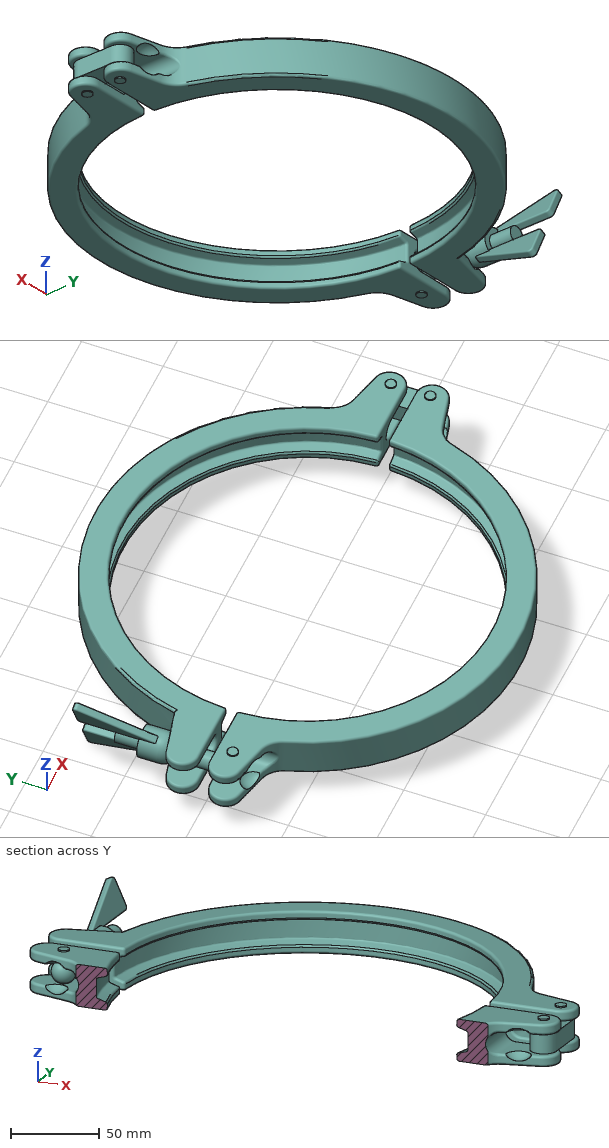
import cadquery as cq
import math

outer_radius = 129.7
bore_radius = 112.5
ring_height = 25.5
split_gap = 6.5
edge_round = 1.5

groove_radius = 119.0
groove_floor_height = 11.7
groove_mouth_height = 15.5
groove_edge_round = 1.3
groove_overrun = 3.3

overall_length = 326
lug_tip_radius = 9.8
lug_taper = 13.5
lug_blend_radius = 14.7
lug_tip_x = overall_length / 2 - lug_tip_radius
lug_tip_y = split_gap / 2 + lug_tip_radius

slot_height = 12.7
slot_end_x = 125.8
seat_radius = 9.8

pin_radius = 3.3
pin_length = 27.0
hinge_pin_x = 153.0
hinge_pin_y = 12.0
link_radius = 7.8
link_height = 11.5

bolt_x = -143.0
bolt_radius = 5.5
bolt_end_y = 57.0
eye_y = -lug_tip_y
eye_radius = 7.2
eye_height = 11.7

nut_radius = 9.8
nut_face_y = 22.5
nut_dome_y = 29.0
nut_end_y = 41.7
wing_tilt = 25
wing_thickness = 5.0
wing_inner = 7.5
wing_outer = 29.5
wing_root = 9.8
wing_root_y = 31.5
wing_end_y = 80.0
wing_corner_round = 2.5
wing_edge_round = 1.0

taper = math.radians(lug_taper)
flank_x = lug_tip_x + lug_tip_radius * math.sin(taper)
flank_y = lug_tip_y + lug_tip_radius * math.cos(taper)


def flank_height(x):
    """Y of the sloping lug flank at distance x from the ring axis."""
    return flank_y + (flank_x - x) * math.tan(taper)


def block(x_min, x_max, y_min, y_max, height):
    """Box centred on Z = 0."""
    return (
        cq.Workplane("XY")
        .box(x_max - x_min, y_max - y_min, height, centered=(False, False, True))
        .translate((x_min, y_min, 0))
    )


def disc(x, y, radius, height):
    """Upright cylinder centred on Z = 0."""
    return cq.Workplane("XY").center(x, y).circle(radius).extrude(height / 2, both=True)


def lug(side):
    """Solid lug on the +X (side = 1) or -X (side = -1) end of the +Y half."""
    base_x = (bore_radius + outer_radius) / 2
    return (
        cq.Workplane("XY")
        .moveTo(side * base_x, split_gap / 2)
        .lineTo(side * lug_tip_x, split_gap / 2)
        .threePointArc((side * overall_length / 2, lug_tip_y), (side * flank_x, flank_y))
        .lineTo(side * base_x, flank_height(base_x))
        .close()
        .extrude(ring_height / 2, both=True)
    )


def groove():
    """Trapezoidal ring to cut from the bore."""
    slope = (groove_mouth_height - groove_floor_height) / 2 / (groove_radius - bore_radius)
    start_radius = bore_radius - groove_overrun
    start_half = groove_mouth_height / 2 + slope * groove_overrun
    floor_half = groove_floor_height / 2
    return (
        cq.Workplane("XZ")
        .polyline([
            (start_radius, -start_half),
            (groove_radius, -floor_half),
            (groove_radius, floor_half),
            (start_radius, start_half),
        ])
        .close()
        .revolve(360, (0, 0, 0), (0, 1, 0))
    )


def slot(side):
    """Round-ended slot through a lug, open at the tip."""
    end_radius = slot_height / 2
    slot_centre_x = slot_end_x + end_radius
    open_part = block(slot_centre_x, overall_length, 0, outer_radius, slot_height)
    round_end = (
        cq.Workplane("XZ").center(slot_centre_x, 0).circle(end_radius).extrude(-outer_radius)
    )
    cutter = open_part.union(round_end)
    return cutter if side > 0 else cutter.mirror("YZ")


def half_ring(blended_sides):
    """The +Y half of the clamp; flanks on blended_sides run smoothly into the ring."""
    ring = (
        cq.Workplane("XY").circle(outer_radius).circle(bore_radius)
        .extrude(ring_height / 2, both=True)
        .intersect(block(-overall_length, overall_length, split_gap / 2, overall_length, ring_height))
    )
    body = ring.union(lug(1)).union(lug(-1)).clean()
    for side in blended_sides:
        flank_zone = cq.selectors.BoxSelector(
            (side * bore_radius, lug_tip_y, -ring_height),
            (side * lug_tip_x, outer_radius, ring_height),
        )
        body = body.edges("|Z").edges(flank_zone).fillet(lug_blend_radius)
    body = body.cut(groove())
    groove_zone_half = (groove_mouth_height / 2 + ring_height / 2) / 2
    groove_zone = cq.selectors.BoxSelector(
        (-groove_radius, split_gap, -groove_zone_half),
        (groove_radius, groove_radius, groove_zone_half),
    )
    body = body.edges(groove_zone).fillet(groove_edge_round)
    for side in (1, -1):
        body = body.cut(slot(side))
    body = body.faces("<Z or >Z or <Y").edges().fillet(edge_round)
    seat_x = abs(bolt_x)
    for side in (1, -1):
        seat = cq.Workplane("XY").sphere(seat_radius)
        body = body.cut(seat.translate((side * seat_x, flank_height(seat_x), 0)))
    return body


def hinge():
    """Link plate with its two pins on the +X side."""
    link = (
        cq.Workplane("XY").center(hinge_pin_x, 0)
        .slot2D(2 * (hinge_pin_y + link_radius), 2 * link_radius, 90)
        .extrude(link_height / 2, both=True)
    )
    for y in (hinge_pin_y, -hinge_pin_y):
        link = link.union(disc(hinge_pin_x, y, pin_radius, pin_length))
    return link


def eye_bolt():
    """Bolt along Y with a flattened ball eye and its pin."""
    shank = (
        cq.Workplane("XZ", origin=(bolt_x, eye_y, 0)).circle(bolt_radius)
        .extrude(eye_y - bolt_end_y)
    )
    eye = (
        cq.Workplane("XY").sphere(eye_radius).translate((bolt_x, eye_y, 0))
        .intersect(disc(bolt_x, eye_y, eye_radius, eye_height))
    )
    return shank.union(eye).union(disc(bolt_x, eye_y, pin_radius, pin_length))


def wing():
    """One wing standing along +Z of a nut on the Y axis."""
    return (
        cq.Workplane("YZ")
        .polyline([
            (wing_root_y, wing_inner),
            (wing_end_y, wing_inner),
            (wing_end_y, wing_outer),
            (wing_root_y, wing_root),
        ])
        .close()
        .extrude(wing_thickness / 2, both=True)
        .edges("|X and >Y").fillet(wing_corner_round)
        .faces("<X or >X").edges().fillet(wing_edge_round)
    )


def wing_nut():
    """Domed nut with two tilted wings."""
    face_radius = math.sqrt(nut_radius**2 - (nut_dome_y - nut_face_y) ** 2)
    dome_angle = (math.asin(face_radius / nut_radius) + math.pi / 2) / 2
    dome_middle = (
        nut_radius * math.sin(dome_angle),
        nut_dome_y - nut_radius * math.cos(dome_angle),
    )
    nut = (
        cq.Workplane("XY")
        .moveTo(0, nut_face_y)
        .lineTo(face_radius, nut_face_y)
        .threePointArc(dome_middle, (nut_radius, nut_dome_y))
        .lineTo(nut_radius, nut_end_y)
        .lineTo(0, nut_end_y)
        .close()
        .revolve(360, (0, 0, 0), (0, 1, 0))
    )
    for turn in (0, 180):
        nut = nut.union(wing().rotate((0, 0, 0), (0, 1, 0), turn - wing_tilt))
    return nut.translate((bolt_x, 0, 0))


upper_half = half_ring(blended_sides=(1,))
lower_half = half_ring(blended_sides=(1, -1)).mirror("XZ")

result = upper_half.union(lower_half).union(hinge()).union(eye_bolt()).union(wing_nut())